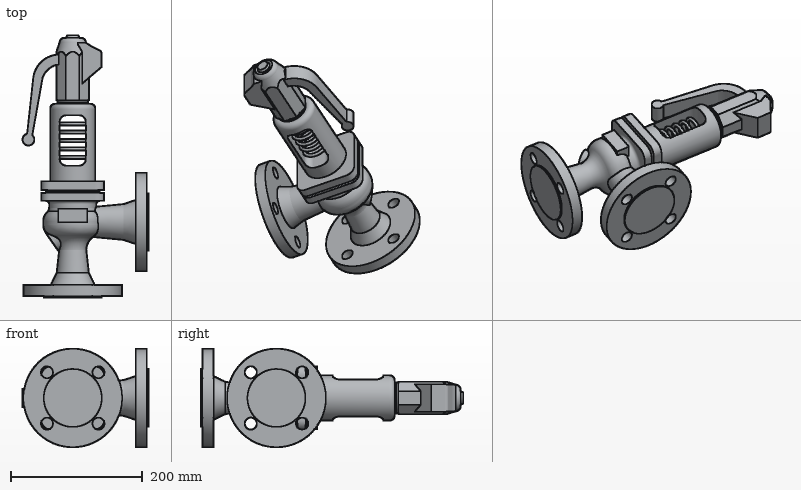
import cadquery as cq
import math


face_distance = 115.0
flange_diameter = 150.0
flange_back = 95.4
raised_face_diameter = 88.0
raised_face_height = 2.5
bolt_circle_diameter = 110.0
bolt_hole_diameter = 18.0
bolt_count = 4

flare_root_radius = 33.5
flare_end = 77.3
inlet_flare_radius = 24.6
inlet_throat_radius = 20.8
inlet_throat_y = -42.7
outlet_flare_radius = 27.4
outlet_inner_radius = 20.0

bulb_radius = 45.0
bulb_round = 18.0
bulb_bottom_y = -4.3
bulb_top_y = 1.5
neck_junction_radius = 34.0
neck_sweep_radius = 25.0
collar_radius = 36.0
collar_bottom_y = 21.3
collar_blend_step = 1.2
collar_fillet = 4.6

drain_diameter = 35.0
drain_center = (-32.0, -29.4)
drain_angle = 35.0
drain_length = 35.0

pad_width = 43.5
pad_bottom_y = -0.7
pad_top_y = 20.0
pad_top_z = 47.7

square_size = 95.6
square_corner_radius = 13.7
body_flange_y = (31.9, 44.3)
bonnet_flange_y = (48.4, 62.0)
joint_radius = 41.0
joint_small_radius = 38.0
joint_step_y = 46.3

bonnet_radius = 34.5
bonnet_top_y = 179.5
bonnet_fillet = 8.0
window_width = 39.5
window_y = (85.6, 161.7)
window_corner_radius = 10.0

coil_count = 5
coil_first_y = 98.1
coil_pitch = 12.7
coil_radius = 20.0
coil_wire_diameter = 5.2

cap_neck_radius = 23.0
cap_neck_ridge_radius = 23.6
cap_neck_ridge_y = 181.8
cap_bottom_y = 184.9
cap_sides = 8
cap_across_flats = 49.5
cap_cone_bottom_y = 251.8
cap_cone_top_y = 271.9
cap_cone_top_radius = 20.4
crown_middle = (18.3, 276.6)
crown_top_y = 279.4
crown_top_radius = 14.3
button_base_radius = 10.4
button_top_radius = 8.4
overall_length = 398.5
cap_top_y = overall_length - face_distance

lever_width = 27.6
lever_root_x = -21.3
lever_root_y = (238.9, 254.2)
lever_outer_bend_mid = (-48.2, 242.6)
lever_outer_bend_end = (-60.0, 218.9)
lever_inner_bend_mid = (-37.5, 231.0)
lever_inner_bend_end = (-45.5, 218.9)
lever_outer_tip = (-69.0, 137.0)
lever_inner_tip = (-60.2, 137.0)
lever_outer_blend_mid = (-69.8, 134.0)
lever_outer_blend_end = (-72.0, 131.8)
lever_inner_blend_end = (-61.0, 131.8)
lever_reach = 76.27
ball_radius = 9.1
ball_center = (ball_radius - lever_reach, 124.9)

plate_thickness = 41.4
plate_inner_x = 14.0
plate_outer_x = 43.8
plate_bottom_y = 209.7
plate_inner_corner_y = 259.0
plate_slant_top = (7.6, 269.6)
plate_outer_bottom_y = 235.0
plate_hollow_mid = (23.3, 269.7)
plate_hollow_end = (27.0, 267.3)
plate_round_start = (39.7, 261.0)
plate_round_mid = (42.6, 258.9)
plate_round_end_y = 256.0


def extrude_y(diameter, y_start, y_end):
    """Cylinder about the Y axis."""
    length = y_end - y_start
    return cq.Workplane("XZ", origin=(0, y_start, 0)).circle(diameter / 2).extrude(-length)


def revolve_y(profile):
    """Solid of revolution about Y from a closed profile of (radius, y)."""
    return profile.close().revolve(360, (0, 0, 0), (0, 1, 0))


def connection_flange():
    """Flange facing -Y with its raised sealing face and bolt holes."""
    rim_y = -face_distance + raised_face_height
    plate = extrude_y(flange_diameter, rim_y, -flange_back)
    holes = (
        cq.Workplane("XZ", origin=(0, rim_y, 0))
        .polarArray(bolt_circle_diameter / 2, 180 / bolt_count, 360, bolt_count)
        .circle(bolt_hole_diameter / 2)
        .extrude(rim_y + flange_back)
    )
    return plate.cut(holes).union(extrude_y(raised_face_diameter, -face_distance, rim_y))


def arc_point(center, radius, degrees):
    """Point on a circle at an angle measured from its first axis."""
    angle = math.radians(degrees)
    return (center[0] + radius * math.cos(angle), center[1] + radius * math.sin(angle))


def body():
    """Inlet neck, bulb and collar as one turned shape."""
    bulb_center_radius = bulb_radius - bulb_round
    lower_center = (bulb_center_radius, bulb_bottom_y)
    upper_center = (bulb_center_radius, bulb_top_y)
    lower_sweep = math.degrees(math.acos((neck_junction_radius - bulb_center_radius) / bulb_round))
    junction = arc_point(lower_center, bulb_round, -lower_sweep)
    neck_center = (inlet_throat_radius + neck_sweep_radius, inlet_throat_y)
    neck_sweep = math.degrees(math.asin((junction[1] - inlet_throat_y) / neck_sweep_radius))
    shoulder_end_radius = collar_radius + collar_blend_step
    upper_sweep = math.degrees(math.acos((shoulder_end_radius - bulb_center_radius) / bulb_round))
    fillet_center = (collar_radius + collar_fillet, body_flange_y[0] - collar_fillet)
    return revolve_y(
        cq.Workplane("XY")
        .moveTo(0, -flange_back)
        .lineTo(flare_root_radius, -flange_back)
        .lineTo(inlet_flare_radius, -flare_end)
        .lineTo(inlet_throat_radius, inlet_throat_y)
        .threePointArc(arc_point(neck_center, neck_sweep_radius, 180 - neck_sweep / 2), junction)
        .threePointArc(arc_point(lower_center, bulb_round, -lower_sweep / 2), (bulb_radius, bulb_bottom_y))
        .lineTo(bulb_radius, bulb_top_y)
        .threePointArc(
            arc_point(upper_center, bulb_round, upper_sweep / 2),
            arc_point(upper_center, bulb_round, upper_sweep),
        )
        .lineTo(collar_radius, collar_bottom_y)
        .lineTo(collar_radius, fillet_center[1])
        .threePointArc(arc_point(fillet_center, collar_fillet, 135), (fillet_center[0], body_flange_y[0]))
        .lineTo(0, body_flange_y[0])
    )


def outlet_neck():
    """Conical neck along +X that ends in a flare at the outlet flange."""
    return (
        cq.Workplane("XY")
        .polyline([
            (0, 0),
            (0, outlet_inner_radius),
            (flare_end, outlet_flare_radius),
            (flange_back, flare_root_radius),
            (flange_back, 0),
        ])
        .close()
        .revolve(360, (0, 0, 0), (1, 0, 0))
    )


def drain_boss():
    """Round boss that leaves the bulb obliquely towards -X and -Y."""
    angle = math.radians(drain_angle)
    inward = (math.cos(angle), math.sin(angle), 0)
    plane = cq.Plane(origin=(*drain_center, 0), xDir=(0, 0, 1), normal=inward)
    return cq.Workplane(plane).circle(drain_diameter / 2).extrude(drain_length)


def name_pad():
    """Flat-topped block on the +Z side of the bulb."""
    pad_length = pad_top_y - pad_bottom_y
    block = cq.Workplane("XY").box(pad_width, pad_length, pad_top_z, centered=(True, False, False))
    return block.translate((0, pad_bottom_y, 0))


def square_flange(y_range):
    """Square plate with rounded corners between two Y positions."""
    return (
        cq.Workplane("XZ", origin=(0, y_range[0], 0))
        .rect(square_size, square_size)
        .extrude(y_range[0] - y_range[1])
        .edges("|Y")
        .fillet(square_corner_radius)
    )


def joint():
    """Sealing ring between the square flanges."""
    return revolve_y(
        cq.Workplane("XY")
        .moveTo(0, body_flange_y[1])
        .lineTo(joint_radius, body_flange_y[1])
        .lineTo(joint_radius, joint_step_y)
        .lineTo(joint_small_radius, bonnet_flange_y[0])
        .lineTo(0, bonnet_flange_y[0])
    )


def bonnet():
    """Bonnet barrel with the window through it and the spring coils in the window."""
    barrel = extrude_y(2 * bonnet_radius, bonnet_flange_y[1], bonnet_top_y)
    barrel = barrel.faces(">Y").edges().fillet(bonnet_fillet)
    window = (
        cq.Workplane("XY")
        .center(0, sum(window_y) / 2)
        .rect(window_width, window_y[1] - window_y[0])
        .extrude(bonnet_radius, both=True)
        .edges("|Z")
        .fillet(window_corner_radius)
    )
    barrel = barrel.cut(window)
    for index in range(coil_count):
        coil = cq.Solid.makeTorus(
            coil_radius,
            coil_wire_diameter / 2,
            cq.Vector(0, coil_first_y + index * coil_pitch, 0),
            cq.Vector(0, 1, 0),
        )
        barrel = barrel.union(cq.Workplane(coil))
    return barrel


def cap():
    """Octagonal cap on a round neck, turned to a cone, a crown and a top button."""
    neck = revolve_y(
        cq.Workplane("XY")
        .moveTo(0, bonnet_top_y)
        .lineTo(cap_neck_radius, bonnet_top_y)
        .lineTo(cap_neck_ridge_radius, cap_neck_ridge_y)
        .lineTo(cap_neck_radius, cap_bottom_y)
        .lineTo(0, cap_bottom_y)
    )
    corner_radius = cap_across_flats / 2 / math.cos(math.pi / cap_sides)
    prism = (
        cq.Workplane("XZ", origin=(0, cap_bottom_y, 0))
        .transformed(rotate=(0, 0, 180 / cap_sides))
        .polygon(cap_sides, 2 * corner_radius)
        .extrude(cap_bottom_y - cap_top_y)
    )
    envelope = revolve_y(
        cq.Workplane("XY")
        .moveTo(0, cap_bottom_y)
        .lineTo(corner_radius, cap_bottom_y)
        .lineTo(corner_radius, cap_cone_bottom_y)
        .lineTo(cap_cone_top_radius, cap_cone_top_y)
        .threePointArc(crown_middle, (crown_top_radius, crown_top_y))
        .lineTo(button_base_radius, crown_top_y)
        .lineTo(button_top_radius, cap_top_y)
        .lineTo(0, cap_top_y)
    )
    return neck.union(prism.intersect(envelope))


def lever():
    """Curved lifting lever with a round end."""
    arm = (
        cq.Workplane("XY")
        .moveTo(lever_root_x, lever_root_y[0])
        .lineTo(lever_root_x, lever_root_y[1])
        .threePointArc(lever_outer_bend_mid, lever_outer_bend_end)
        .lineTo(*lever_outer_tip)
        .threePointArc(lever_outer_blend_mid, lever_outer_blend_end)
        .lineTo(*ball_center)
        .lineTo(*lever_inner_blend_end)
        .lineTo(*lever_inner_tip)
        .lineTo(*lever_inner_bend_end)
        .threePointArc(lever_inner_bend_mid, (lever_root_x, lever_root_y[0]))
        .close()
        .extrude(lever_width / 2, both=True)
    )
    ball = cq.Workplane("XY").center(*ball_center).circle(ball_radius).extrude(lever_width / 2, both=True)
    return arm.union(ball)


def bearing_plate():
    """Plate that carries the lever pivot on the +X side of the cap."""
    return (
        cq.Workplane("XY")
        .moveTo(plate_inner_x, plate_bottom_y)
        .lineTo(plate_inner_x, plate_inner_corner_y)
        .lineTo(*plate_slant_top)
        .lineTo(plate_slant_top[0], cap_cone_top_y)
        .lineTo(cap_cone_top_radius, cap_cone_top_y)
        .threePointArc(plate_hollow_mid, plate_hollow_end)
        .lineTo(*plate_round_start)
        .threePointArc(plate_round_mid, (plate_outer_x, plate_round_end_y))
        .lineTo(plate_outer_x, plate_outer_bottom_y)
        .close()
        .extrude(plate_thickness / 2, both=True)
    )


inlet_flange = connection_flange()
outlet_flange = inlet_flange.rotate((0, 0, 0), (0, 0, 1), 90)

result = (
    body()
    .union(inlet_flange)
    .union(outlet_flange)
    .union(outlet_neck())
    .union(drain_boss())
    .union(name_pad())
    .union(square_flange(body_flange_y))
    .union(joint())
    .union(square_flange(bonnet_flange_y))
    .union(bonnet())
    .union(cap())
    .union(lever())
    .union(bearing_plate())
)